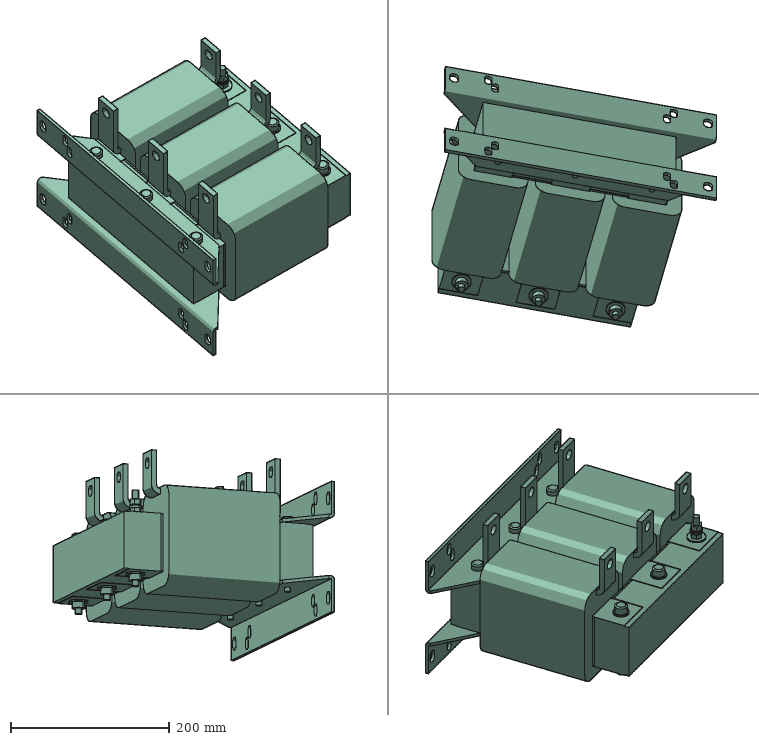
import cadquery as cq
import math


phase_pitch = 100.0
leg_width = phase_pitch / 2
core_width = 5 * leg_width
core_depth = 256.3
core_height = 73.2
yoke_depth = leg_width
coil_length = 150.5
coil_width = 90.0
coil_top = 73.2
coil_bottom = -56.3
coil_corner_radius = 16.2
collar_inset = 0.7
inner_leg_width = leg_width - 2 * collar_inset
collar_width = core_width - 2 * collar_inset
collar_top = core_height / 2 - collar_inset

sheet_thickness = 0.7
sheet_length = core_depth - 14.0
sheet_face = core_height / 2 + sheet_thickness

bracket_length = 352.0
bracket_front = -137.3
bracket_depth = 51.0
bracket_reach = 84.0
plate_thickness = 4.2
bend_radius = 5.5
bracket_taper_depth = 43.5
bracket_face = sheet_face + plate_thickness
end_slot_x = 164.7
end_slot_z = 64.0
end_slot_width = 11.3
end_slot_height = 16.2
pair_slot_width = 9.0
pair_slot_height = 16.0
pair_slots = [(120.5, 71.8), (111.5, 58.5)]

bar_top = 120.5
bar_width = 30.3
bar_thickness = 7.0
bar_bend_radius = 12.0
bar_face = coil_length / 2 + bar_bend_radius
bar_rear_bottom = 64.0
bar_front_bottom = 40.0
bar_hole_diameter = 13.5
bar_hole_drop = 14.8

bolt_y = core_depth / 2 - yoke_depth / 2
rod_diameter = 8.5
stud_top = 69.5
stud_bottom = -54.0
front_bolt_diameter = 7.5
front_bolt_bottom = -46.8
washer_diameter = 24.3
small_washer_diameter = 20.5
washer_thickness = 1.8
nut_across_flats = 13.0
nut_corners = nut_across_flats / math.cos(math.pi / 6)
nut_height = 7.0
lower_nut_height = 7.7
stud_ring_diameter = 16.0
stud_ring_thickness = 3.0
spring_washer_diameter = 13.7
spring_washer_thickness = 1.5
head_diameter = 16.2
head_top = 49.3
head_chamfer_height = 1.5
head_chamfer_width = 2.0

phase_positions = [-phase_pitch, 0, phase_pitch]


def box(x_size, y_size, z_low, z_high, x=0, y=0):
    return cq.Workplane("XY", origin=(x, y, z_low)).rect(x_size, y_size).extrude(z_high - z_low)


def cylinder(diameter, z_low, z_high, x, y):
    return cq.Workplane("XY", origin=(x, y, z_low)).circle(diameter / 2).extrude(z_high - z_low)


def hexagon(z_low, height, x, y):
    """Hexagonal prism with two of its corners pointing along Y."""
    plane = cq.Plane(origin=(x, y, z_low), xDir=(0, 1, 0), normal=(0, 0, 1))
    return cq.Workplane(plane).polygon(6, nut_corners).extrude(height)


def make_core():
    """Two yokes joined by three legs, with an inset collar along the inner side of each yoke."""
    core = cq.Workplane("XY")
    for x in phase_positions:
        core = core.union(box(inner_leg_width, core_depth, -core_height / 2, core_height / 2, x=x))
    collar_depth = (core_depth - coil_length) / 2 - yoke_depth
    for side in (-1, 1):
        yoke_y = side * (core_depth - yoke_depth) / 2
        collar_y = side * (coil_length + collar_depth) / 2
        core = core.union(box(core_width, yoke_depth, -core_height / 2, core_height / 2, y=yoke_y))
        core = core.union(box(collar_width, collar_depth, -collar_top, collar_top, y=collar_y))
    return core


def make_coil(x):
    coil = box(coil_width, coil_length, coil_bottom, coil_top, x=x)
    return coil.edges("|Y").fillet(coil_corner_radius)


def make_sheets(x):
    lower_sheet = box(leg_width, sheet_length, -sheet_face, -core_height / 2, x=x)
    upper_sheet = box(leg_width, sheet_length, core_height / 2, sheet_face, x=x)
    return lower_sheet.union(upper_sheet)


def bracket_slot(x, z, width, height):
    cutter = cq.Workplane("XZ", origin=(x, bracket_front + plate_thickness, z))
    return cutter.slot2D(height, width, 90).extrude(plate_thickness)


def make_upper_bracket():
    plate_back = bracket_front + bracket_depth
    taper_end = plate_back - bracket_taper_depth
    section = (
        cq.Workplane("YZ")
        .moveTo(plate_back, sheet_face)
        .lineTo(bracket_front + bend_radius, sheet_face)
        .radiusArc((bracket_front, sheet_face + bend_radius), bend_radius)
        .lineTo(bracket_front, bracket_reach)
        .lineTo(bracket_front + plate_thickness, bracket_reach)
        .lineTo(bracket_front + plate_thickness, bracket_face)
        .lineTo(plate_back, bracket_face)
        .close()
        .extrude(bracket_length / 2, both=True)
    )
    outline = (
        cq.Workplane("XY")
        .polyline([
            (-core_width / 2, plate_back),
            (core_width / 2, plate_back),
            (bracket_length / 2, taper_end),
            (bracket_length / 2, bracket_front),
            (-bracket_length / 2, bracket_front),
            (-bracket_length / 2, taper_end),
        ])
        .close()
        .extrude(bracket_reach)
    )
    bracket = section.intersect(outline)
    for side in (-1, 1):
        bracket = bracket.cut(bracket_slot(side * end_slot_x, end_slot_z, end_slot_width, end_slot_height))
        for x, z in pair_slots:
            bracket = bracket.cut(bracket_slot(side * x, z, pair_slot_width, pair_slot_height))
    return bracket


def make_terminal(x, side, bottom):
    """Bar leaving the coil end and turning up; side is 1 at the rear and -1 at the front."""
    inner_radius = bar_bend_radius - bar_thickness
    coil_end = coil_length / 2
    bar = (
        cq.Workplane("YZ", origin=(x, 0, 0))
        .moveTo(0, bottom)
        .lineTo(coil_end, bottom)
        .radiusArc((bar_face, bottom + bar_bend_radius), -bar_bend_radius)
        .lineTo(bar_face, bar_top)
        .lineTo(bar_face - bar_thickness, bar_top)
        .lineTo(bar_face - bar_thickness, bottom + bar_bend_radius)
        .radiusArc((coil_end, bottom + bar_thickness), inner_radius)
        .lineTo(0, bottom + bar_thickness)
        .close()
        .extrude(bar_width / 2, both=True)
    )
    hole = (
        cq.Workplane("XZ", origin=(x, bar_face, bar_top - bar_hole_drop))
        .circle(bar_hole_diameter / 2)
        .extrude(bar_thickness)
    )
    bar = bar.cut(hole)
    return bar if side > 0 else bar.mirror("XZ")


def make_head(x, y, z_low):
    """Round bolt head with a flat top and a wide sloped rim."""
    radius = head_diameter / 2
    return (
        cq.Workplane("XZ", origin=(x, y, 0))
        .moveTo(0, z_low)
        .lineTo(radius, z_low)
        .lineTo(radius, head_top - head_chamfer_height)
        .lineTo(radius - head_chamfer_width, head_top)
        .lineTo(0, head_top)
        .close()
        .revolve(360, (0, 0, 0), (0, 1, 0))
    )


def make_lower_nut(x):
    """Washer, nut and rod end below the rear yoke."""
    washer_low = -sheet_face - washer_thickness
    washer = cylinder(washer_diameter, washer_low, -sheet_face, x, bolt_y)
    nut = cylinder(head_diameter, washer_low - lower_nut_height, washer_low, x, bolt_y)
    rod = cylinder(rod_diameter, stud_bottom, 0, x, bolt_y)
    return washer.union(nut).union(rod)


def make_stud(x):
    """Threaded stud carrying, from the sheet up: washer, nut, ring, spring washer, nut."""
    washer_top = sheet_face + washer_thickness
    nut_top = washer_top + nut_height
    ring_top = nut_top + stud_ring_thickness
    spring_top = ring_top + spring_washer_thickness
    stud = cylinder(rod_diameter, 0, stud_top, x, bolt_y)
    stud = stud.union(cylinder(washer_diameter, sheet_face, washer_top, x, bolt_y))
    stud = stud.union(hexagon(washer_top, nut_height, x, bolt_y))
    stud = stud.union(cylinder(stud_ring_diameter, nut_top, ring_top, x, bolt_y))
    stud = stud.union(cylinder(spring_washer_diameter, ring_top, spring_top, x, bolt_y))
    return stud.union(hexagon(spring_top, nut_height, x, bolt_y))


def make_rear_bolt(x):
    washer = cylinder(small_washer_diameter, sheet_face, sheet_face + washer_thickness, x, bolt_y)
    return washer.union(make_head(x, bolt_y, sheet_face))


def make_front_bolt(x):
    shank = cylinder(front_bolt_diameter, front_bolt_bottom, 0, x, -bolt_y)
    return shank.union(make_head(x, -bolt_y, bracket_face))


result = make_core()
upper_bracket = make_upper_bracket()
result = result.union(upper_bracket).union(upper_bracket.mirror("XY"))
for phase_x in phase_positions:
    result = result.union(make_sheets(phase_x))
    result = result.union(make_coil(phase_x))
    result = result.union(make_terminal(phase_x, 1, bar_rear_bottom))
    result = result.union(make_terminal(phase_x, -1, bar_front_bottom))
    result = result.union(make_front_bolt(phase_x))
    result = result.union(make_lower_nut(phase_x))
result = result.union(make_stud(phase_positions[0]))
for phase_x in phase_positions[1:]:
    result = result.union(make_rear_bolt(phase_x))